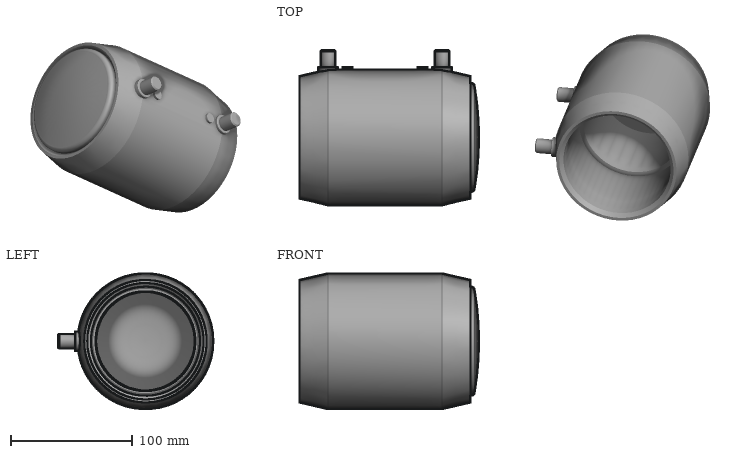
import cadquery as cq
import math

sleeve_length = 141.0
barrel_length = 94.0
barrel_radius = 56.0
end_radius = 50.5
bore_radius = 45.0
bore_chamfer = 3.0

plug_start_x = 0.0
plug_mouth_radius = 41.2
plug_bottom_radius = 40.7
rim_height = 3.5
rim_corner_radius = 3.5
dome_rise = 3.55
dome_thickness = 4.0

terminal_spacing = barrel_length
terminal_tip_y = 72.0
terminal_radius = 6.1
terminal_chamfer = 1.0
collar_top_y = 58.2
collar_radius = 8.15
collar_chamfer = 0.5

stud_spacing = 62.0
stud_radius = 4.1
stud_top_y = 58.0

root_y = (barrel_radius + bore_radius) / 2

half_sleeve = sleeve_length / 2
half_barrel = barrel_length / 2


def revolve_about_x(profile):
    return profile.close().revolve(360, (0, 0, 0), (1, 0, 0))


def make_sleeve():
    mouth_radius = bore_radius + bore_chamfer
    chamfer_end_x = half_sleeve - bore_chamfer
    profile = (
        cq.Workplane("XY")
        .moveTo(-half_sleeve, mouth_radius)
        .lineTo(-half_sleeve, end_radius)
        .lineTo(-half_barrel, barrel_radius)
        .lineTo(half_barrel, barrel_radius)
        .lineTo(half_sleeve, end_radius)
        .lineTo(half_sleeve, mouth_radius)
        .lineTo(chamfer_end_x, bore_radius)
        .lineTo(-chamfer_end_x, bore_radius)
    )
    return revolve_about_x(profile)


def make_plug():
    rim_x = half_sleeve + rim_height
    apex_x = rim_x + dome_rise
    dome_edge_radius = bore_radius - rim_corner_radius
    dome_sphere_radius = (dome_edge_radius**2 + dome_rise**2) / (2 * dome_rise)
    dome_centre_x = apex_x - dome_sphere_radius

    inner_sphere_radius = dome_sphere_radius - dome_thickness
    inner_apex_x = apex_x - dome_thickness

    def sphere_point(sphere_radius, radius):
        return (dome_centre_x + math.sqrt(sphere_radius**2 - radius**2), radius)

    corner_centre_x = rim_x - rim_corner_radius
    corner_mid_offset = rim_corner_radius * math.sqrt(0.5)
    corner_mid = (corner_centre_x + corner_mid_offset, dome_edge_radius + corner_mid_offset)

    profile = (
        cq.Workplane("XY")
        .moveTo(plug_start_x, plug_mouth_radius)
        .lineTo(plug_start_x, bore_radius)
        .lineTo(corner_centre_x, bore_radius)
        .threePointArc(corner_mid, (rim_x, dome_edge_radius))
        .threePointArc(sphere_point(dome_sphere_radius, dome_edge_radius / 2), (apex_x, 0))
        .lineTo(inner_apex_x, 0)
        .threePointArc(
            sphere_point(inner_sphere_radius, plug_bottom_radius / 2),
            sphere_point(inner_sphere_radius, plug_bottom_radius),
        )
    )
    return revolve_about_x(profile)


def make_post(x, radius, top_y, chamfer=0.0):
    axis_base = cq.Vector(x, root_y, 0)
    post = cq.Workplane(cq.Solid.makeCylinder(radius, top_y - root_y, axis_base, cq.Vector(0, 1, 0)))
    if chamfer > 0:
        post = post.faces(">Y").chamfer(chamfer)
    return post


result = make_sleeve().union(make_plug())
for side in (-1, 1):
    terminal_x = side * terminal_spacing / 2
    stud_x = side * stud_spacing / 2
    result = (
        result
        .union(make_post(terminal_x, collar_radius, collar_top_y, collar_chamfer))
        .union(make_post(terminal_x, terminal_radius, terminal_tip_y, terminal_chamfer))
        .union(make_post(stud_x, stud_radius, stud_top_y))
    )